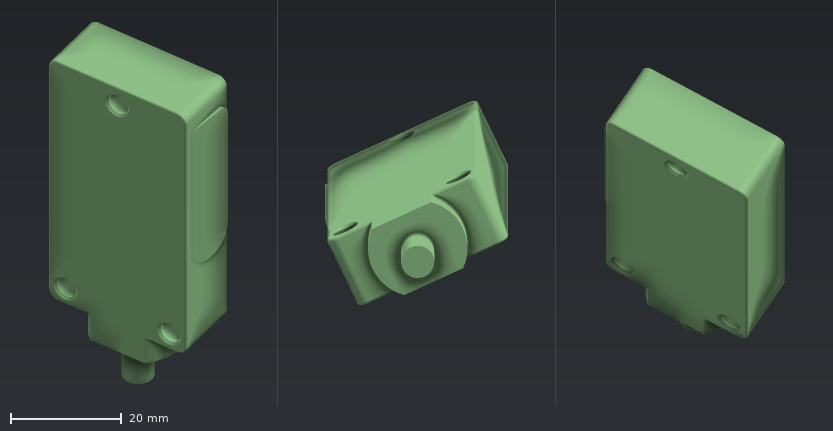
import cadquery as cq

BODY_WIDTH = 30.0
BODY_DEPTH = 13.6
BODY_HEIGHT = 56.5
CORNER_RADIUS = 2.0
RIM_RADIUS = 0.5

NECK_DIAMETER = 18.0
NECK_LENGTH = 5.8

CABLE_DIAMETER = 6.0
CABLE_LENGTH = 10.0

HOLE_DIAMETER = 4.2
COUNTERSINK_DIAMETER = 5.2
TOP_HOLE_DROP = 4.2
LOWER_HOLE_SPACING = 22.6
LOWER_HOLE_HEIGHT = 3.7

LENS_RISE = 1.0
LENS_DEPTH = 10.6
LENS_TOP_DROP = 4.8
LENS_HEIGHT = 33.0
LENS_TOP_RADIUS = 2.0
LENS_ROOT = 1.0


def make_body():
    block = cq.Workplane("XY").box(BODY_WIDTH, BODY_DEPTH, BODY_HEIGHT, centered=(True, True, False))
    return block.edges("|Y").fillet(CORNER_RADIUS).faces("<Y or >Y").edges().fillet(RIM_RADIUS)


def make_neck():
    cylinder = cq.Workplane("XY").circle(NECK_DIAMETER / 2).extrude(NECK_LENGTH + RIM_RADIUS)
    slab = cq.Workplane("XY").box(
        NECK_DIAMETER, BODY_DEPTH, NECK_LENGTH + RIM_RADIUS, centered=(True, True, False)
    )
    return cylinder.intersect(slab).translate((0, 0, -NECK_LENGTH))


def make_cable():
    return cq.Workplane("XY").workplane(offset=-NECK_LENGTH).circle(CABLE_DIAMETER / 2).extrude(-CABLE_LENGTH)


def make_lens():
    side = BODY_WIDTH / 2
    half_depth = LENS_DEPTH / 2
    bottom = BODY_HEIGHT - LENS_TOP_DROP - LENS_HEIGHT
    wedge = (
        cq.Workplane("XY")
        .workplane(offset=bottom)
        .moveTo(side - LENS_ROOT, -half_depth)
        .lineTo(side, -half_depth)
        .lineTo(side + LENS_RISE, half_depth)
        .lineTo(side - LENS_ROOT, half_depth)
        .close()
        .extrude(LENS_HEIGHT)
    )
    top = bottom + LENS_HEIGHT
    round_start = bottom + half_depth
    outline = (
        cq.Workplane("YZ")
        .workplane(offset=side - LENS_ROOT)
        .moveTo(-half_depth, top)
        .lineTo(-half_depth, round_start)
        .threePointArc((0, bottom), (half_depth, round_start))
        .lineTo(half_depth, top)
        .close()
        .extrude(LENS_ROOT + LENS_RISE)
    )
    outline = outline.edges("|X and >Z").fillet(LENS_TOP_RADIUS)
    return wedge.intersect(outline)


def make_hole(x, z):
    bevel = (COUNTERSINK_DIAMETER - HOLE_DIAMETER) / 2
    bore = cq.Workplane("XY").circle(HOLE_DIAMETER / 2).extrude(BODY_DEPTH)
    lower_cone = cq.Solid.makeCone(COUNTERSINK_DIAMETER / 2, HOLE_DIAMETER / 2, bevel)
    upper_cone = lower_cone.mirror("XY").translate(cq.Vector(0, 0, BODY_DEPTH))
    cutter = bore.union(lower_cone).union(upper_cone)
    return cutter.rotate((0, 0, 0), (1, 0, 0), 90).translate((x, BODY_DEPTH / 2, z))


result = make_body().union(make_neck()).union(make_cable()).union(make_lens())

hole_places = [
    (0, BODY_HEIGHT - TOP_HOLE_DROP),
    (-LOWER_HOLE_SPACING / 2, LOWER_HOLE_HEIGHT),
    (LOWER_HOLE_SPACING / 2, LOWER_HOLE_HEIGHT),
]
for hole_x, hole_z in hole_places:
    result = result.cut(make_hole(hole_x, hole_z))